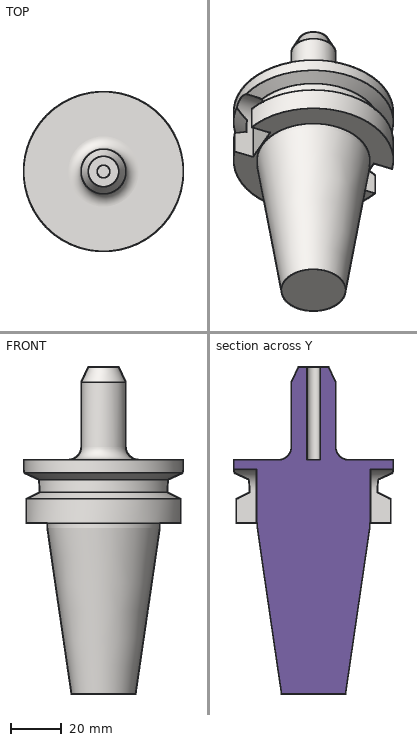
import cadquery as cq
import math


gauge_radius = 44.45 / 2
taper_length = 65.4
taper_ratio = 7 / 24
tail_radius = gauge_radius - taper_length * taper_ratio / 2

flange_radius = 63.0 / 2
flange_bottom = 2.0
flange_top = 27.0
groove_radius = 53.0 / 2
groove_center = 16.6
groove_floor_width = 5.0
groove_wall_angle = 27.5
groove_half_floor = groove_floor_width / 2
groove_half_mouth = groove_half_floor + (flange_radius - groove_radius) * math.tan(
    math.radians(groove_wall_angle)
)

nose_top = 63.5
nose_radius = 17.7 / 2
nose_tip_radius = 12.0 / 2
nose_cone_height = 6.0
nose_root_fillet = 5.0
bore_radius = 5.0 / 2
bore_depth = nose_top - flange_top

slot_width = 16.1
slot_floor = 22.5
slot_top = 23.0


def make_body():
    """Revolve the half section (radius, height) about Z."""
    fillet_center_radius = nose_radius + nose_root_fillet
    fillet_center_height = flange_top + nose_root_fillet
    fillet_offset = nose_root_fillet * math.sqrt(0.5)
    fillet_middle = (fillet_center_radius - fillet_offset, fillet_center_height - fillet_offset)
    return (
        cq.Workplane("XZ")
        .moveTo(0, -taper_length)
        .lineTo(tail_radius, -taper_length)
        .lineTo(gauge_radius, 0)
        .lineTo(gauge_radius, flange_bottom)
        .lineTo(flange_radius, flange_bottom)
        .lineTo(flange_radius, groove_center - groove_half_mouth)
        .lineTo(groove_radius, groove_center - groove_half_floor)
        .lineTo(groove_radius, groove_center + groove_half_floor)
        .lineTo(flange_radius, groove_center + groove_half_mouth)
        .lineTo(flange_radius, flange_top)
        .lineTo(fillet_center_radius, flange_top)
        .threePointArc(fillet_middle, (nose_radius, fillet_center_height))
        .lineTo(nose_radius, nose_top - nose_cone_height)
        .lineTo(nose_tip_radius, nose_top)
        .lineTo(0, nose_top)
        .close()
        .revolve(360, (0, 0, 0), (0, 1, 0))
    )


def make_slot(side):
    """Round-topped slot cutter, open at the flange bottom; side is -1 or +1 along X."""
    half_width = slot_width / 2
    slot_depth = flange_radius - slot_floor
    return (
        cq.Workplane("YZ", origin=(side * slot_floor, 0, 0))
        .moveTo(-half_width, flange_bottom)
        .lineTo(half_width, flange_bottom)
        .lineTo(half_width, slot_top - half_width)
        .threePointArc((0, slot_top), (-half_width, slot_top - half_width))
        .close()
        .extrude(side * slot_depth)
    )


def make_bore():
    """Blind bore down the nose from its tip."""
    return cq.Workplane("XY", origin=(0, 0, nose_top)).circle(bore_radius).extrude(-bore_depth)


result = make_body().cut(make_bore())
for slot_side in (-1, 1):
    result = result.cut(make_slot(slot_side))